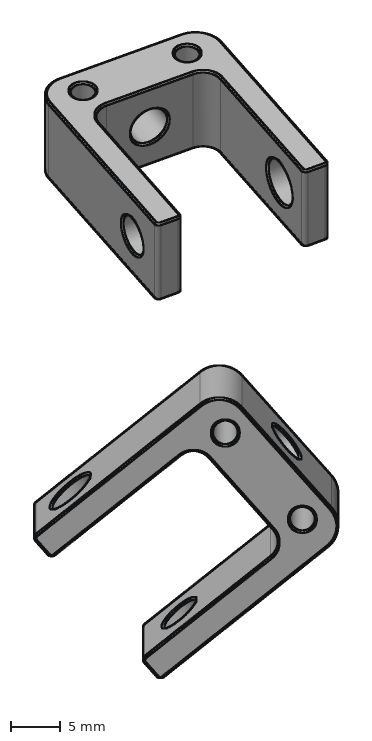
import cadquery as cq

length = 25.0
width = 19.9
height = 10.0

slot_width = 14.0
base_thickness = 6.0
slot_corner_radius = 2.0

back_corner_radius = 3.0
tip_corner_radius = 0.5
edge_chamfer = 0.2

screw_hole_diameter = 4.2
wide_hole_diameter = 5.0
cross_hole_tip_distance = 5.0
base_hole_diameter = 2.5
base_hole_spacing = 12.0

back_x = -length / 2
tip_x = length / 2
slot_x = back_x + base_thickness
mid_z = height / 2


def make_body():
    """U-shaped block with rounded corners and chamfered edges."""
    block = cq.Workplane("XY").box(length, width, height, centered=(True, True, False))
    block = block.edges("|Z and <X").fillet(back_corner_radius)
    slot_length = tip_x - slot_x
    slot = (
        cq.Workplane("XY")
        .box(slot_length, slot_width, height, centered=(False, True, False))
        .translate((slot_x, 0, 0))
        .edges("|Z and <X")
        .fillet(slot_corner_radius)
    )
    body = block.cut(slot)
    body = body.edges("|Z and >X").fillet(tip_corner_radius)
    return body.faces("<Z or >Z").edges().chamfer(edge_chamfer)


def countersunk_drill(start, direction, diameter, depth):
    """Cutter for a through hole with a small chamfer at both mouths."""
    radius = diameter / 2
    mouth_radius = radius + edge_chamfer
    start = cq.Vector(*start)
    direction = cq.Vector(*direction)
    end = start + direction * depth
    drill = cq.Solid.makeCylinder(radius, depth, start, direction)
    for mouth, inward in ((start, direction), (end, direction * -1)):
        cone = cq.Solid.makeCone(mouth_radius, radius, edge_chamfer, mouth, inward)
        drill = drill.fuse(cone)
    return drill


result = make_body()

arm_thickness = (width - slot_width) / 2
for arm_y, diameter in ((-width / 2, screw_hole_diameter), (slot_width / 2, wide_hole_diameter)):
    start = (tip_x - cross_hole_tip_distance, arm_y, mid_z)
    result = result.cut(countersunk_drill(start, (0, 1, 0), diameter, arm_thickness))

result = result.cut(
    countersunk_drill((back_x, 0, mid_z), (1, 0, 0), screw_hole_diameter, base_thickness)
)

for side in (-1, 1):
    start = (back_x + back_corner_radius, side * base_hole_spacing / 2, 0)
    result = result.cut(countersunk_drill(start, (0, 0, 1), base_hole_diameter, height))